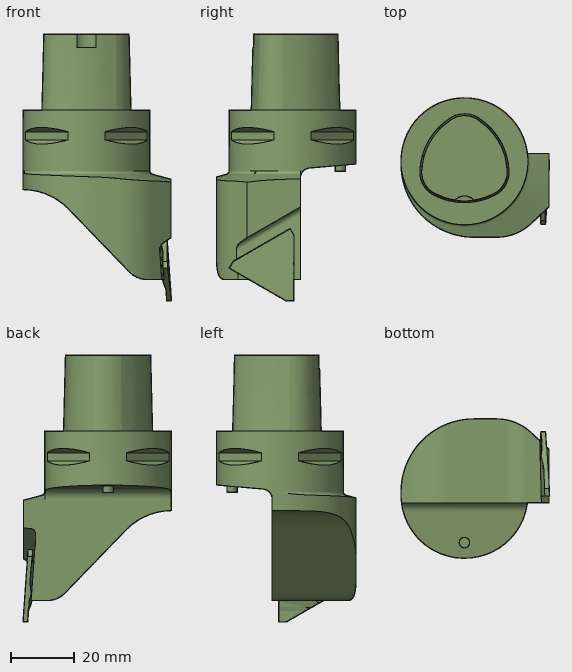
import cadquery as cq
import math

flange_radius = 20.0
flange_edge_z = -19.2
shoulder_angle = 15.0
shoulder_fillet = 1.0

shank_height = 24.0
shank_lobe_reach = 15.0
shank_side_reach = 13.0
lobe_radius = 8.2
lobe_angles = (90, 210, 330)
lobe_to_side_angle = 60
shank_taper = math.degrees(math.atan(1 / 40))
keyway_radius = 4.0
keyway_center_y = -15.0
keyway_depth = 4.2

groove_count = 4
first_groove_direction = 45.0
groove_z = -8.1
groove_floor_distance = 17.7
groove_floor_height = 2.5
groove_flank_angle = 30.0

arm_front_y = -24.0
arm_back_y = 2.5
arm_right_x = 26.7
arm_flat_start_x = 3.0
arm_flat_end_x = 10.1
arm_corner_y = -14.4
arm_nose_x = 20.8
arm_nose_y = -19.85
arm_bottom_z = -53.4

underside_start_z = -25.1
underside_angle = 46.0
underside_radius = flange_radius
heel_radius = 8.0

back_roof_edge_z = -17.0
back_roof_angle = 5.0
back_fillet = 3.0
pin_diameter = 3.3
pin_y = 15.05
pin_end_z = -19.3
pin_height = 5.05

insert_lean = 4.0
insert_swing = 1.5
insert_tip_x = 25.3
insert_tip_y = 0.4
insert_tip_z = -60.1
insert_side = 20.7
insert_corner_flat = 2.4
insert_plate_thickness = 1.5
hub_thickness = 0.7
hub_inradius = 6.0
hub_turn = 12.5
hub_flank_slope = 0.2
insert_corners = 3
insert_corner_angle = 360 / insert_corners
insert_upper_angle = insert_corner_angle - 90

tip_groove_depth = 0.2
tip_groove_rise = 3.45
tip_groove_end = 4.6

pocket_clearance = 4.1
pocket_fillet = 1.7
pocket_half_length = 33.6

reach = 84.1


def polar(distance, degrees):
    angle = math.radians(degrees)
    return distance * math.cos(angle), distance * math.sin(angle)


def make_shank():
    lobe_distance = shank_lobe_reach - lobe_radius
    inset = shank_side_reach - lobe_radius
    side_offset = (lobe_distance**2 - inset**2) / (2 * inset - lobe_distance)
    tangent_angle = math.degrees(math.atan2(
        lobe_distance * math.sin(math.radians(lobe_to_side_angle)),
        lobe_distance * math.cos(math.radians(lobe_to_side_angle)) + side_offset,
    ))

    def tangent_point(lobe_angle, turn):
        center_x, center_y = polar(lobe_distance, lobe_angle)
        dx, dy = polar(lobe_radius, lobe_angle + turn)
        return center_x + dx, center_y + dy

    turn = lobe_to_side_angle - tangent_angle
    outline = cq.Workplane("XY").moveTo(*tangent_point(lobe_angles[0], -turn))
    for lobe_angle in lobe_angles:
        side_angle = lobe_angle + lobe_to_side_angle
        next_lobe_angle = side_angle + lobe_to_side_angle
        outline = outline.threePointArc(polar(shank_lobe_reach, lobe_angle), tangent_point(lobe_angle, turn))
        side_end = tangent_point(next_lobe_angle, -turn)
        outline = outline.threePointArc(polar(shank_side_reach, side_angle), side_end)
    shank = outline.close().extrude(shank_height, taper=shank_taper)
    keyway = (
        cq.Workplane("XY", origin=(0, keyway_center_y, shank_height - keyway_depth))
        .circle(keyway_radius)
        .extrude(reach)
    )
    return shank.cut(keyway)


def make_flange_envelope():
    """Solid of revolution: flange cylinder, shoulder fillet and widening cone."""
    slope = math.radians(shoulder_angle)
    fillet_end_r = flange_radius + shoulder_fillet * (1 - math.sin(slope))
    fillet_end_z = flange_edge_z - shoulder_fillet * math.cos(slope)
    half_sweep = (math.pi / 2 - slope) / 2
    fillet_middle = (
        flange_radius + shoulder_fillet * (1 - math.cos(half_sweep)),
        flange_edge_z - shoulder_fillet * math.sin(half_sweep),
    )
    cone_end_z = fillet_end_z - (reach - fillet_end_r) * math.tan(slope)
    return (
        cq.Workplane("XZ")
        .lineTo(flange_radius, 0)
        .lineTo(flange_radius, flange_edge_z)
        .threePointArc(fillet_middle, (fillet_end_r, fillet_end_z))
        .lineTo(reach, cone_end_z)
        .lineTo(reach, -reach)
        .lineTo(0, -reach)
        .close()
        .revolve(360, (0, 0), (0, 1))
    )


def make_arm_column():
    """Flange cylinder and arm outline, carried straight down to the arm bottom."""
    side_radius = arm_flat_start_x + flange_radius
    side_center_y = arm_front_y + side_radius
    dx, dy = polar(side_radius, 225)
    column = cq.Workplane("XY").circle(flange_radius).extrude(arm_bottom_z)
    arm = (
        cq.Workplane("XY")
        .lineTo(-flange_radius, 0)
        .lineTo(-flange_radius, side_center_y)
        .threePointArc((arm_flat_start_x + dx, side_center_y + dy), (arm_flat_start_x, arm_front_y))
        .lineTo(arm_flat_end_x, arm_front_y)
        .tangentArcPoint((arm_nose_x, arm_nose_y), relative=False)
        .lineTo(arm_right_x, arm_corner_y)
        .lineTo(arm_right_x, arm_back_y)
        .lineTo(0, arm_back_y)
        .close()
        .extrude(arm_bottom_z)
    )
    return column.union(arm).intersect(make_flange_envelope())


def make_underside_cutter():
    angle = math.radians(underside_angle)
    sine, cosine = math.sin(angle), math.cos(angle)
    slope_start_x = -flange_radius + underside_radius * sine
    slope_start_z = underside_start_z - underside_radius * (1 - cosine)
    slope_end_z = arm_bottom_z + heel_radius * (1 - cosine)
    slope_end_x = slope_start_x + (slope_start_z - slope_end_z) / math.tan(angle)
    return (
        cq.Workplane("XZ", origin=(0, reach, 0))
        .moveTo(-reach, underside_start_z)
        .lineTo(-flange_radius, underside_start_z)
        .tangentArcPoint((slope_start_x, slope_start_z), relative=False)
        .lineTo(slope_end_x, slope_end_z)
        .tangentArcPoint((slope_end_x + heel_radius * sine, arm_bottom_z), relative=False)
        .lineTo(reach, arm_bottom_z)
        .lineTo(reach, -reach)
        .lineTo(-reach, -reach)
        .close()
        .extrude(2 * reach)
    )


def make_back_cutter():
    slope = math.tan(math.radians(back_roof_angle))

    def roof_z(y):
        return back_roof_edge_z - (flange_radius - y) * slope

    return (
        cq.Workplane("YZ", origin=(-reach, 0, 0))
        .moveTo(arm_back_y, roof_z(arm_back_y))
        .lineTo(reach, roof_z(reach))
        .lineTo(reach, -reach)
        .lineTo(arm_back_y, -reach)
        .close()
        .extrude(2 * reach)
        .edges(cq.selectors.NearestToPointSelector((0, arm_back_y, roof_z(arm_back_y))))
        .fillet(back_fillet)
    )


def make_pin():
    return cq.Workplane("XY", origin=(0, pin_y, pin_end_z)).circle(pin_diameter / 2).extrude(pin_height)


def make_groove_cutter(direction):
    depth = reach - groove_floor_distance
    half_floor = groove_floor_height / 2
    half_mouth = half_floor + depth * math.tan(math.radians(groove_flank_angle))
    return (
        cq.Workplane("XZ", origin=(0, reach, groove_z))
        .moveTo(groove_floor_distance, -half_floor)
        .lineTo(reach, -half_mouth)
        .lineTo(reach, half_mouth)
        .lineTo(groove_floor_distance, half_floor)
        .close()
        .extrude(2 * reach)
        .rotate((0, 0, 0), (0, 0, 1), direction)
    )


def insert_corner_points():
    """Outline in Y and Z: a triangle whose corners each end in a short flat square to one side."""
    y, z = insert_tip_y, insert_tip_z
    points = []
    for corner in range(insert_corners):
        heading = 180 - corner * insert_corner_angle
        for length, turn in ((insert_corner_flat, 0), (insert_side, -insert_upper_angle)):
            points.append((y, z))
            dy, dz = polar(length, heading + turn)
            y, z = y + dy, z + dz
    return points


def tilt(body):
    x, y, z = insert_tip_x, insert_tip_y, insert_tip_z
    leaned = body.rotate((x, y, z), (x, y + 0.8, z), -insert_lean)
    return leaned.rotate((x, y, z), (x, y, z + 0.8), -insert_swing)


def make_insert():
    outline = insert_corner_points()
    center_y = sum(y for y, z in outline) / len(outline)
    center_z = sum(z for y, z in outline) / len(outline)

    def hub_triangle(inradius):
        directions = [90 + hub_turn + step * insert_corner_angle for step in range(insert_corners)]
        corners = [polar(2 * inradius, direction) for direction in directions]
        return [(center_y + dy, center_z + dz) for dy, dz in corners]

    plate_plane = cq.Workplane("YZ", origin=(insert_tip_x, 0, 0))
    seat_plane = cq.Workplane("YZ", origin=(insert_tip_x - hub_thickness, 0, 0))
    plate = plate_plane.polyline(outline).close().extrude(insert_plate_thickness)
    hub_limits = seat_plane.polyline(outline).close().extrude(hub_thickness)
    hub = (
        seat_plane
        .polyline(hub_triangle(hub_inradius - hub_thickness / hub_flank_slope))
        .close()
        .workplane(offset=hub_thickness)
        .polyline(hub_triangle(hub_inradius))
        .close()
        .loft(ruled=True)
        .intersect(hub_limits)
    )
    tip_groove = (
        cq.Workplane("XZ", origin=(insert_tip_x, reach, insert_tip_z))
        .lineTo(tip_groove_depth, tip_groove_rise)
        .lineTo(0, tip_groove_end)
        .close()
        .extrude(2 * reach)
    )
    axis_ends = ((0, center_y, center_z), (1, center_y, center_z))
    for step in range(insert_corners):
        plate = plate.cut(tip_groove.rotate(*axis_ends, step * insert_corner_angle))
    return tilt(plate.union(hub))


def make_pocket_cutter():
    """Space around the insert, open to the right, with its roof parallel to the insert's upper side."""
    upper_y, upper_z = insert_corner_points()[3]
    slope = math.radians(insert_upper_angle)
    roof_z_at_axis = upper_z - upper_y * math.tan(slope) + pocket_clearance / math.cos(slope)

    def roof(y):
        return y, roof_z_at_axis + y * math.tan(slope)

    floor_x = insert_tip_x - hub_thickness
    pocket = (
        cq.Workplane("YZ", origin=(floor_x, 0, 0))
        .polyline([
            roof(-pocket_half_length),
            roof(pocket_half_length),
            (pocket_half_length, -reach),
            (-pocket_half_length, -reach),
        ])
        .close()
        .extrude(reach)
        .edges(cq.selectors.NearestToPointSelector((floor_x, *roof(0))))
        .fillet(pocket_fillet)
    )
    return tilt(pocket)


def make_holder():
    body = make_arm_column().cut(make_underside_cutter()).cut(make_back_cutter())
    for number in range(groove_count):
        direction = first_groove_direction + number * 360 / groove_count
        body = body.cut(make_groove_cutter(direction))
    return body.union(make_shank()).union(make_pin()).cut(make_pocket_cutter())


holder = make_holder()
insert = make_insert()
result = cq.Compound.makeCompound([holder.solids().val(), insert.solids().val()])